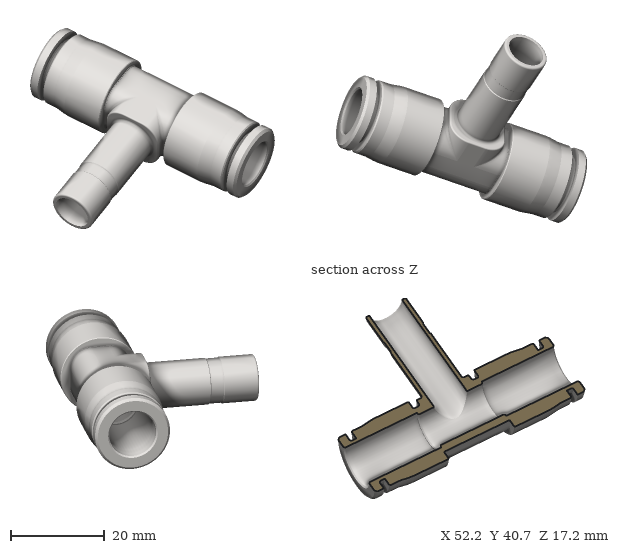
import cadquery as cq
import math

HALF_LENGTH = 26.1
SLEEVE_RADIUS = 8.6
END_RADIUS = 8.2
NECK_RADIUS = 6.1
RING_CHAMFER = 0.5
NECK_CHAMFER = 0.25
SHOULDER_BULGE = 0.05
SLEEVE_OUTER_CHAMFER = 0.25
SLEEVE_INNER_CHAMFER = 0.15

RING_WIDTH = 2.15
SLEEVE_START = 3.5
SHOULDER_START = 6.3
SHOULDER_END = 9.3
SLEEVE_END = 18.0

SOCKET_RADIUS = 5.1
SOCKET_DEPTH = SLEEVE_END
MOUTH_CHAMFER = 0.3
PASSAGE_RADIUS = 4.55
PASSAGE_CHAMFER = 0.3

BODY_WIDTH = 13.05
FLAT_WIDTH = 3.95
CORNER_RADIUS = (BODY_WIDTH - FLAT_WIDTH) / 2
BOSS_REACH = 8.1
BOSS_EDGE_FILLET = 0.3
JUNCTION_FILLET = 0.45
COLLAR_WIDTH = 0.15
COLLAR_GROWTH = 0.1
SELECT_MARGIN = 0.05

STEM_REACH = 32.1
STEM_RADIUS = 5.0
STEM_BORE_RADIUS = 4.0
STEM_ROOT_FILLET = 0.45
STEM_TIP_FILLET = 0.4
GROOVE_RADIUS = 4.85
GROOVE_START = 21.45
GROOVE_END = 24.55


def push_in_end():
    """Solid release ring, neck and sleeve of the -X end."""
    arc_middle = (
        (SHOULDER_START + SHOULDER_END) / 2,
        (END_RADIUS + SLEEVE_RADIUS) / 2 + SHOULDER_BULGE,
    )
    profile = (
        cq.Workplane("XY", origin=(-HALF_LENGTH, 0, 0))
        .moveTo(0, 0)
        .lineTo(0, END_RADIUS - RING_CHAMFER)
        .lineTo(RING_CHAMFER, END_RADIUS)
        .lineTo(RING_WIDTH, END_RADIUS)
        .lineTo(RING_WIDTH, NECK_RADIUS + NECK_CHAMFER)
        .lineTo(RING_WIDTH + NECK_CHAMFER, NECK_RADIUS)
        .lineTo(SLEEVE_START, NECK_RADIUS)
        .lineTo(SLEEVE_START, END_RADIUS - SLEEVE_OUTER_CHAMFER)
        .lineTo(SLEEVE_START + SLEEVE_OUTER_CHAMFER, END_RADIUS)
        .lineTo(SHOULDER_START, END_RADIUS)
        .threePointArc(arc_middle, (SHOULDER_END, SLEEVE_RADIUS))
        .lineTo(SLEEVE_END - SLEEVE_INNER_CHAMFER, SLEEVE_RADIUS)
        .lineTo(SLEEVE_END, SLEEVE_RADIUS - SLEEVE_INNER_CHAMFER)
        .lineTo(SLEEVE_END, 0)
        .close()
    )
    return profile.revolve(360, (0, 0, 0), (1, 0, 0))


def rounded_square(plane, growth=0.0):
    """Workplane holding the shared body section, offset outward by growth."""
    width = BODY_WIDTH + 2 * growth
    section = cq.Sketch().rect(width, width).vertices().fillet(CORNER_RADIUS + growth)
    return cq.Workplane(plane).placeSketch(section)


def tee_body():
    """Body between the sleeves with the boss that carries the stem."""
    half_span = HALF_LENGTH - SLEEVE_END
    half_width = BODY_WIDTH / 2
    body = rounded_square("YZ").extrude(half_span, both=True)
    boss = rounded_square("XZ").extrude(BOSS_REACH)
    tee = body.union(boss)

    curved_mitres = tee.edges("%ELLIPSE")
    upright_mitres = tee.edges("|Z").edges(
        cq.selectors.BoxSelector(
            (-half_width - SELECT_MARGIN, -half_width - SELECT_MARGIN, -half_width),
            (half_width + SELECT_MARGIN, -half_width + SELECT_MARGIN, half_width),
        )
    )
    tee = curved_mitres.add(upright_mitres).fillet(JUNCTION_FILLET)
    tee = tee.faces("<Y").edges().fillet(BOSS_EDGE_FILLET)

    for start in (-half_span, half_span - COLLAR_WIDTH):
        collar = rounded_square("YZ", COLLAR_GROWTH).extrude(COLLAR_WIDTH)
        tee = tee.union(collar.translate((start, 0, 0)))
    return tee


def stem():
    """Solid stem with its root fillet, shallow groove and rounded tip."""
    root_end = BOSS_REACH + STEM_ROOT_FILLET
    groove_depth = STEM_RADIUS - GROOVE_RADIUS
    near_corner = STEM_ROOT_FILLET * (1 - math.sqrt(0.5))
    tip_inset = STEM_TIP_FILLET * (1 - math.sqrt(0.5))
    profile = (
        cq.Workplane("XY")
        .moveTo(0, 0)
        .lineTo(STEM_RADIUS + STEM_ROOT_FILLET, 0)
        .lineTo(STEM_RADIUS + STEM_ROOT_FILLET, -BOSS_REACH)
        .threePointArc((STEM_RADIUS + near_corner, -BOSS_REACH - near_corner), (STEM_RADIUS, -root_end))
        .lineTo(STEM_RADIUS, -GROOVE_START)
        .lineTo(GROOVE_RADIUS, -GROOVE_START - groove_depth)
        .lineTo(GROOVE_RADIUS, -GROOVE_END + groove_depth)
        .lineTo(STEM_RADIUS, -GROOVE_END)
        .lineTo(STEM_RADIUS, -STEM_REACH + STEM_TIP_FILLET)
        .threePointArc(
            (STEM_RADIUS - tip_inset, -STEM_REACH + tip_inset),
            (STEM_RADIUS - STEM_TIP_FILLET, -STEM_REACH),
        )
        .lineTo(0, -STEM_REACH)
        .close()
    )
    return profile.revolve(360, (0, 0, 0), (0, 1, 0))


def run_bore():
    """Bore of the -X half: chamfered mouth, tube socket, then the narrower passage."""
    passage_mouth = PASSAGE_RADIUS + PASSAGE_CHAMFER
    profile = (
        cq.Workplane("XY", origin=(-HALF_LENGTH, 0, 0))
        .moveTo(0, 0)
        .lineTo(0, SOCKET_RADIUS + MOUTH_CHAMFER)
        .lineTo(MOUTH_CHAMFER, SOCKET_RADIUS)
        .lineTo(SOCKET_DEPTH, SOCKET_RADIUS)
        .lineTo(SOCKET_DEPTH, passage_mouth)
        .lineTo(SOCKET_DEPTH + PASSAGE_CHAMFER, PASSAGE_RADIUS)
        .lineTo(HALF_LENGTH, PASSAGE_RADIUS)
        .lineTo(HALF_LENGTH, 0)
        .close()
    )
    return profile.revolve(360, (0, 0, 0), (1, 0, 0))


def stem_bore():
    """Stem bore, running from the stem tip into the passage of the run."""
    return cq.Workplane("XZ").circle(STEM_BORE_RADIUS).extrude(STEM_REACH)


def both_ends(half):
    """The half and its mirror image on the +X side."""
    return half.union(half.mirror("YZ"))


outside = tee_body().union(both_ends(push_in_end())).union(stem())
result = outside.cut(both_ends(run_bore())).cut(stem_bore())